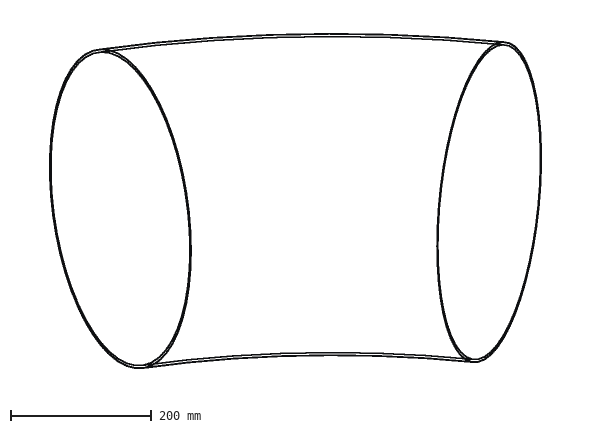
import cadquery as cq
import math

bend_angle = 45.0
overall_length = 647.0
wall = 4.0
bend_to_diameter = 1.5

outer_diameter = overall_length / ((bend_to_diameter + 0.5) * math.sin(math.radians(bend_angle)))
inner_diameter = outer_diameter - 2 * wall
bend_radius = bend_to_diameter * outer_diameter

result = (
    cq.Workplane("XZ")
    .circle(outer_diameter / 2)
    .circle(inner_diameter / 2)
    .revolve(bend_angle, (bend_radius, 6.5, 0), (bend_radius, 0, 0))
)